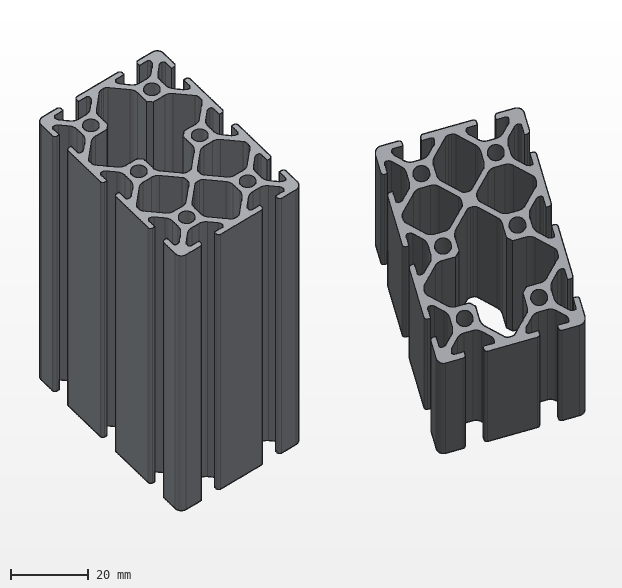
import cadquery as cq

module = 20.0
columns = 3
rows = 2
length = 100.0
width = columns * module
depth = rows * module
half_module = module / 2
corner_radius = 2.0

bore_diameter = 4.3
core_width = 7.3
core_half = core_width / 2
core_gap = module - core_width
core_chamfer = 1.3

mouth_half = 2.5
lip_thickness = 1.6
lip_radius = 0.8
slot_half = 5.7
slot_depth = half_module - core_half
floor_half = 2.4
wall_end = slot_depth - (slot_half - floor_half)
shoulder_radius = 0.6
wall_radius = 1.5
floor_radius = 3.0

skin_thickness = 2.1
cell_reach = 8.9
cell_length = module - 2 * skin_thickness
cell_tip_radius = 1.5
cell_core_radius = 2.8


def prism(points):
    """Closed outline extruded over the full length."""
    return cq.Workplane("XY").polyline(points).close().extrude(length)


def block(size_x, size_y):
    """Full-length rectangular bar centred on the Z axis."""
    return cq.Workplane("XY").rect(size_x, size_y).extrude(length)


def diamond(reach):
    """Full-length square bar with its corners on the X and Y axes."""
    return prism([(reach, 0), (0, reach), (-reach, 0), (0, -reach)])


def turned(shape, angle):
    """Shape turned about the Z axis."""
    return shape.rotate((0, 0, 0), (0, 0, 1), angle)


def make_slot():
    """T-slot void opening toward +Y, with the outer face at y = 0."""
    cavity = prism(
        [
            (-slot_half, -lip_thickness),
            (slot_half, -lip_thickness),
            (slot_half, -wall_end),
            (floor_half, -slot_depth),
            (-floor_half, -slot_depth),
            (-slot_half, -wall_end),
        ]
    )
    cavity = cavity.edges("|Z and (<X or >X)").edges("<Y").fillet(wall_radius)
    cavity = cavity.edges("|Z and >Y").fillet(shoulder_radius)
    cavity = cavity.edges("|Z and <Y").fillet(floor_radius)

    flare_half = mouth_half + lip_radius
    mouth = (
        cq.Workplane("XY")
        .moveTo(-flare_half, 0)
        .radiusArc((-mouth_half, -lip_radius), lip_radius)
        .lineTo(-mouth_half, -lip_thickness)
        .lineTo(mouth_half, -lip_thickness)
        .lineTo(mouth_half, -lip_radius)
        .radiusArc((flare_half, 0), lip_radius)
        .close()
        .extrude(length)
    )
    return cavity.union(mouth)


def make_cell():
    """Diamond cell cut flat beside the cores (+X and -X) and at its tips (+Y and -Y)."""
    cell = diamond(cell_reach).intersect(block(core_gap, cell_length))
    cell = cell.edges("|Z and (<X or >X)").fillet(cell_core_radius)
    return cell.edges("|Z and (<Y or >Y)").fillet(cell_tip_radius)


def make_open_centre():
    """Void joining four cells where two crossing webs are left out, with the cores chamfered."""
    cross = block(module, core_gap).union(block(core_gap, module))
    chamfers = diamond(core_gap + core_chamfer).intersect(block(module, module))
    return cross.union(chamfers)


column_centres = [(i - (columns - 1) / 2) * module for i in range(columns)]
row_centres = [(j - (rows - 1) / 2) * module for j in range(rows)]
nodes = [(x, y) for x in column_centres for y in row_centres]

body = block(width, depth).edges("|Z").fillet(corner_radius)

slot = make_slot()
for x in column_centres:
    body = body.cut(slot.translate((x, depth / 2, 0)))
    body = body.cut(turned(slot, 180).translate((x, -depth / 2, 0)))
for y in row_centres:
    body = body.cut(turned(slot, -90).translate((width / 2, y, 0)))
    body = body.cut(turned(slot, 90).translate((-width / 2, y, 0)))

column_gap_cell = make_cell()
row_gap_cell = turned(column_gap_cell, 90)
for x in column_centres[:-1]:
    for y in row_centres:
        body = body.cut(column_gap_cell.translate((x + half_module, y, 0)))
for x in column_centres:
    body = body.cut(row_gap_cell.translate((x, 0, 0)))

body = body.cut(make_open_centre().translate((column_centres[0] + half_module, 0, 0)))

body = body.cut(cq.Workplane("XY").pushPoints(nodes).circle(bore_diameter / 2).extrude(length))

result = body.solids()